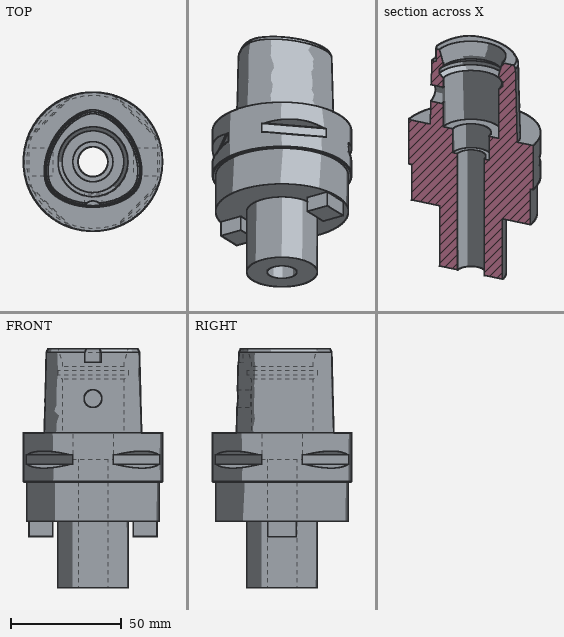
import cadquery as cq
import math

total_length = 108.0
shank_length = 38.0
flange_length = 22.2
pilot_length = 30.0

flange_bottom = -flange_length
collar_bottom = shank_length + pilot_length - total_length
pilot_bottom = shank_length - total_length

flange_radius = 31.48
flange_chamfer = 0.3
collar_radius = 30.0
pilot_radius = 16.0

shank_radius = 22.0
lobe_height = 1.4
spans_per_half = 9
taper = 1 / 40
shank_chamfer_height = 1.7
shank_chamfer_inset = 0.9

mouth_radius = 15.8
mouth_depth = 6.4
bore_radius = 13.9
groove_depth = 7.9
groove_width = 5.8
groove_radius = 15.9
pocket_depth = shank_length
bolt_head_radius = 9.1
bolt_head_depth = 11.9
bolt_hole_radius = 6.7

notch_radius = 4.8
notch_depth = 6.3
notch_inner_y = -17.7
side_hole_radius = 4.0
side_hole_depth_from_end = 22.6
side_hole_floor_y = -14.4

gripper_center_z = -12.1
gripper_floor = 27.8
gripper_flare_start = 28.4
gripper_width = 4.3
gripper_flare_angle = 29.0
gripper_count = 4

key_inner_x = 18.1
key_outer_x = 28.9
key_width = 12.7
key_height = 6.9


def lobed_halves(mean_radius, z):
    """Two halves of a closed curve whose tangent lies mean_radius + lobe_height * cos(3a) off the axis."""

    def point(a):
        reach = mean_radius + lobe_height * math.cos(3 * a)
        slide = -3 * lobe_height * math.sin(3 * a)
        x = -reach * math.sin(a) - slide * math.cos(a)
        y = reach * math.cos(a) - slide * math.sin(a)
        return cq.Vector(x, y, z)

    def end_tangent(a):
        bend_radius = mean_radius - 8 * lobe_height * math.cos(3 * a)
        return cq.Vector(-bend_radius * math.cos(a), -bend_radius * math.sin(a), 0)

    def half(start):
        angles = [start + math.pi * i / spans_per_half for i in range(spans_per_half + 1)]
        return cq.Edge.makeSpline(
            [point(a) for a in angles],
            tangents=[end_tangent(angles[0]), end_tangent(angles[-1])],
            parameters=angles,
            scale=False,
        )

    return [half(0), half(math.pi)]


def cylinder(radius, bottom_z, top_z):
    return cq.Workplane("XY", origin=(0, 0, bottom_z)).circle(radius).extrude(top_z - bottom_z)


def make_shank():
    chamfer_z = shank_length - shank_chamfer_height
    chamfer_radius = shank_radius - taper * chamfer_z
    end_radius = chamfer_radius - shank_chamfer_inset
    sections = [
        lobed_halves(shank_radius, 0),
        lobed_halves(chamfer_radius, chamfer_z),
        lobed_halves(end_radius, shank_length),
    ]
    ends = [cq.Face.makeFromWires(cq.Wire.assembleEdges(halves)) for halves in (sections[0], sections[-1])]
    sides = [
        cq.Face.makeRuledSurface(lower, upper)
        for lower_halves, upper_halves in zip(sections, sections[1:])
        for lower, upper in zip(lower_halves, upper_halves)
    ]
    return cq.Workplane(cq.Solid.makeSolid(cq.Shell.makeShell(ends + sides)))


def make_round_body():
    flange = cylinder(flange_radius, flange_bottom, 0).faces("<Z").chamfer(flange_chamfer)
    collar = cylinder(collar_radius, collar_bottom, flange_bottom)
    pilot = cylinder(pilot_radius, pilot_bottom, collar_bottom)
    return flange.union(collar).union(pilot)


def make_keys():
    length = key_outer_x - key_inner_x
    middle = (key_inner_x + key_outer_x) / 2
    return (
        cq.Workplane("XY", origin=(0, 0, collar_bottom))
        .pushPoints([(-middle, 0), (middle, 0)])
        .rect(length, key_width)
        .extrude(-key_height)
    )


def make_bore():
    flank = groove_radius - bore_radius
    groove_end = groove_depth + groove_width
    bolt_floor = pocket_depth + bolt_head_depth
    radius_at_depth = [
        (0, 0),
        (mouth_radius, 0),
        (bore_radius, mouth_depth),
        (bore_radius, groove_depth),
        (groove_radius, groove_depth + flank),
        (groove_radius, groove_end - flank),
        (bore_radius, groove_end),
        (bore_radius, pocket_depth),
        (bolt_head_radius, pocket_depth),
        (bolt_head_radius, bolt_floor),
        (bolt_hole_radius, bolt_floor),
        (bolt_hole_radius, total_length),
        (0, total_length),
    ]
    profile = [(radius, shank_length - depth) for radius, depth in radius_at_depth]
    return cq.Workplane("XZ").polyline(profile).close().revolve(360, (0, 0), (0, 1))


def make_notch():
    bottom = shank_length - notch_depth
    return cylinder(notch_radius, bottom, shank_length).translate((0, notch_inner_y - notch_radius, 0))


def make_side_hole():
    z = shank_length - side_hole_depth_from_end
    return (
        cq.Workplane("XZ", origin=(0, side_hole_floor_y, z))
        .circle(side_hole_radius)
        .extrude(shank_radius + side_hole_floor_y)
    )


def make_gripper_groove(angle):
    outer = flange_radius + 1.1
    half_width = gripper_width / 2
    flare = (outer - gripper_flare_start) * math.tan(math.radians(gripper_flare_angle))
    profile = [
        (gripper_floor, -half_width),
        (gripper_flare_start, -half_width),
        (outer, -half_width - flare),
        (outer, half_width + flare),
        (gripper_flare_start, half_width),
        (gripper_floor, half_width),
    ]
    return (
        cq.Workplane("XZ", origin=(0, 0, gripper_center_z))
        .polyline(profile)
        .close()
        .extrude(flange_radius, both=True)
        .rotate((0, 0, 0), (0, 0, 1), angle)
    )


result = make_round_body().union(make_shank()).union(make_keys())
result = result.cut(make_bore()).cut(make_notch()).cut(make_side_hole())
for index in range(gripper_count):
    result = result.cut(make_gripper_groove(45 + index * 360 / gripper_count))